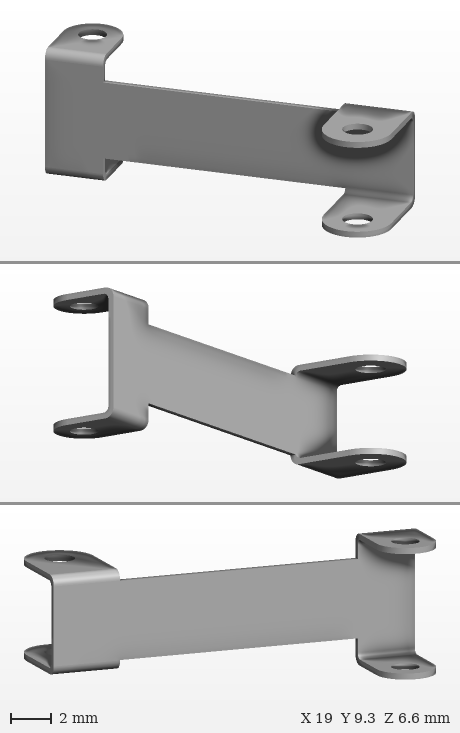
import cadquery as cq

length = 19.0
thickness = 0.3
strap_height = 3.97
outer_bend_radius = 0.5
inner_bend_radius = 0.28

small_width = 3.0
small_height = 6.6
small_reach = 4.3
small_hole_diameter = 1.4

large_width = 3.5
large_height = 5.0
large_reach = 5.3
large_hole_diameter = 1.5


def make_fork(width, height, reach, hole_diameter):
    """U-bent fork with its back face on Y = 0 and its rounded lugs pointing to +Y."""
    outside = (
        cq.Workplane("XY")
        .box(width, reach, height, centered=(False, False, True))
        .edges("|X and <Y")
        .fillet(outer_bend_radius)
    )
    inside = (
        cq.Workplane("XY")
        .box(width, reach, height - 2 * thickness, centered=(False, False, True))
        .edges("|X and <Y")
        .fillet(inner_bend_radius)
        .translate((0, thickness, 0))
    )
    lug_radius = width / 2
    lug_center_y = reach - lug_radius
    outline = (
        cq.Workplane("XY", origin=(0, 0, -height / 2))
        .lineTo(width, 0)
        .lineTo(width, lug_center_y)
        .threePointArc((lug_radius, reach), (0, lug_center_y))
        .close()
        .extrude(height)
    )
    hole = (
        cq.Workplane("XY", origin=(lug_radius, lug_center_y, -height / 2))
        .circle(hole_diameter / 2)
        .extrude(height)
    )
    return outside.cut(inside).intersect(outline).cut(hole)


strap = cq.Workplane("XY").box(
    length - large_width, thickness, strap_height, centered=(False, False, True)
)

small_fork = make_fork(small_width, small_height, small_reach, small_hole_diameter)

large_fork = (
    make_fork(large_width, large_height, large_reach, large_hole_diameter)
    .mirror("XZ")
    .translate((length - large_width, thickness, 0))
)

result = strap.union(small_fork).union(large_fork).clean()